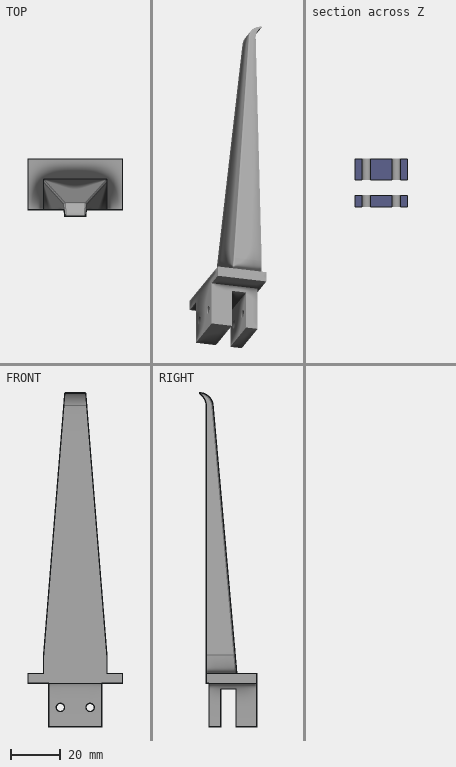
import cadquery as cq

plate_width = 38.0
plate_depth = 20.4
plate_thickness = 4.0
plate_bottom = 17.4
plate_top = plate_bottom + plate_thickness

fork_width = 21.5
fork_front = 1.1
slot_front = 5.9
slot_back = 11.9
slot_top = 15.1
hole_diameter = 3.2
hole_spacing = 11.9
hole_height = 7.8

total_height = 134.0
blade_width = 25.5
blade_depth = 12.3
taper_start = 28.8
curl_start = 128.8
tip_width = 8.5
tip_depth = 2.8
tip_overhang = 2.7
lip_thickness = 0.4
corner_radius = 0.5
curl_front_mid = (-0.8, 131.6)


def make_plate():
    return (
        cq.Workplane("XY", origin=(0, 0, plate_bottom))
        .rect(plate_width, plate_depth)
        .extrude(plate_thickness)
        .translate((0, plate_depth / 2, 0))
    )


def make_fork():
    """Two lugs joined below the plate, cross-drilled for two pins."""
    fork = (
        cq.Workplane("YZ")
        .moveTo(fork_front, 0)
        .lineTo(slot_front, 0)
        .lineTo(slot_front, slot_top)
        .lineTo(slot_back, slot_top)
        .lineTo(slot_back, 0)
        .lineTo(plate_depth, 0)
        .lineTo(plate_depth, plate_bottom)
        .lineTo(fork_front, plate_bottom)
        .close()
        .extrude(fork_width / 2, both=True)
    )
    pins = (
        cq.Workplane("XZ")
        .pushPoints([(-hole_spacing / 2, hole_height), (hole_spacing / 2, hole_height)])
        .circle(hole_diameter / 2)
        .extrude(-plate_depth)
    )
    return fork.cut(pins)


def make_blade():
    """Tapered wedge with rounded rear corners and a hollowed front that leaves a curled tip."""
    side_profile = (
        cq.Workplane("YZ")
        .moveTo(-tip_overhang, plate_top)
        .lineTo(blade_depth, plate_top)
        .lineTo(tip_depth, curl_start)
        .tangentArcPoint((-tip_overhang, total_height), relative=False)
        .close()
        .extrude(blade_width, both=True)
    )
    front_outline = (
        cq.Workplane("XZ", origin=(0, blade_depth, 0))
        .moveTo(-blade_width / 2, plate_top)
        .lineTo(blade_width / 2, plate_top)
        .lineTo(blade_width / 2, taper_start)
        .lineTo(tip_width / 2, total_height)
        .lineTo(-tip_width / 2, total_height)
        .lineTo(-blade_width / 2, taper_start)
        .close()
        .extrude(blade_depth + tip_overhang)
    )
    wedge = side_profile.intersect(front_outline)
    behind_front = cq.selectors.BoxSelector(
        (-blade_width, -tip_overhang / 2, plate_top),
        (blade_width, blade_depth, total_height),
    )
    rounded = wedge.edges("not(|X or |Y)").edges(behind_front).fillet(corner_radius)
    hollow = (
        cq.Workplane("YZ")
        .moveTo(-tip_overhang, plate_top)
        .lineTo(0, plate_top)
        .lineTo(0, curl_start)
        .threePointArc(curl_front_mid, (-tip_overhang, total_height - lip_thickness))
        .close()
        .extrude(blade_width, both=True)
    )
    return rounded.cut(hollow)


result = make_plate().union(make_fork()).union(make_blade())